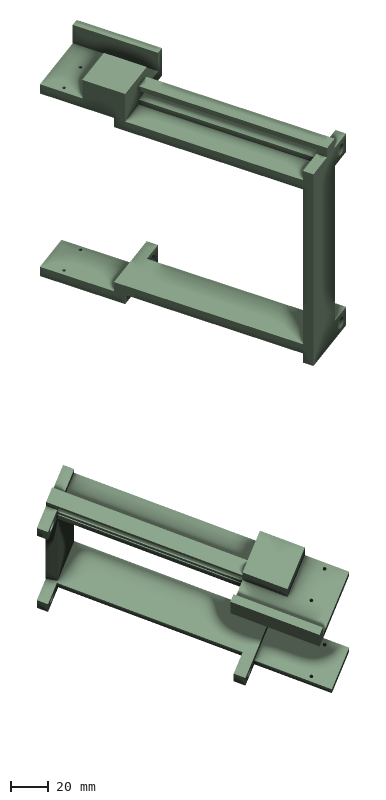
import cadquery as cq

length = 163.8
depth = 43.0
height = 146.0

plate = 6.4
arm_depth = 25.2
ear_depth = 38.2
foot_length = 51.1
step_width = 6.7
post_x = length - plate
step_x = foot_length - step_width
post_taper = 1.3
frame_height = height - 2 * plate

wall_thickness = 4.6
block_x = 25.4

rail_thickness = 3.5
rail_depth = 8.8
rail_back = 24.7
rail_front = rail_back - rail_depth
rail_top = height - plate

pivot_diameter = 6.9
pivot_y = 31.8
screw_diameter = 2.0
screw_x = 12.8
screw_front_y = 3.3
screw_spacing = 19.2


def box(x_range, y_range, z_range):
    """Box spanning the given (low, high) ranges."""
    low = (x_range[0], y_range[0], z_range[0])
    size = [high - start for start, high in (x_range, y_range, z_range)]
    return cq.Workplane("XY").box(*size, centered=False).translate(low)


def end_frame(bottom, arm_bottom, foot_bottom, foot_depth):
    """Foot, arm and two ears at one end of the post, with the bore to cut from them."""
    ear_span = (bottom, bottom + 2 * plate)
    foot = box((0, foot_length), (0, foot_depth), (foot_bottom, foot_bottom + plate))
    arm = box((step_x, length), (0, arm_depth), (arm_bottom, arm_bottom + plate))
    frame = foot.union(arm)
    for start, end in ((step_x, foot_length), (post_x, length)):
        frame = frame.union(box((start, end), (0, ear_depth), ear_span))

    pivot_z = bottom + plate
    pivot = cq.Workplane("YZ").center(pivot_y, pivot_z).circle(pivot_diameter / 2).extrude(length)
    pivot = pivot.intersect(box((step_x, length), (0, depth), ear_span))
    return frame, pivot


lower_frame, lower_pivot = end_frame(0, plate, 0, arm_depth)
upper_bottom = frame_height - 2 * plate
upper_frame, upper_pivot = end_frame(upper_bottom, upper_bottom, frame_height - plate, depth)

post_outline = [(post_x, 0), (length, 0), (length, arm_depth), (post_x, arm_depth - post_taper)]
post = cq.Workplane("XY").polyline(post_outline).close().extrude(frame_height)
body = post.union(lower_frame).union(upper_frame)

body = body.cut(lower_pivot).cut(upper_pivot)

wall = box((0, foot_length), (depth - wall_thickness, depth), (frame_height - plate, height))
block = box((block_x, foot_length), (0, arm_depth), (frame_height, height))
body = body.union(wall).union(block)

arm_top = upper_bottom + plate
rail_span = (rail_front, rail_back)
lower_rail = box((foot_length, post_x), rail_span, (arm_top, arm_top + rail_thickness))
upper_rail = box((foot_length, length), rail_span, (rail_top - rail_thickness, rail_top))
rail_support = box((post_x, length), rail_span, (frame_height, rail_top))
body = body.union(lower_rail).union(upper_rail).union(rail_support)

for index in range(2):
    screw_y = screw_front_y + index * screw_spacing
    screw = cq.Workplane("XY").center(screw_x, screw_y).circle(screw_diameter / 2).extrude(height)
    body = body.cut(screw)

result = body